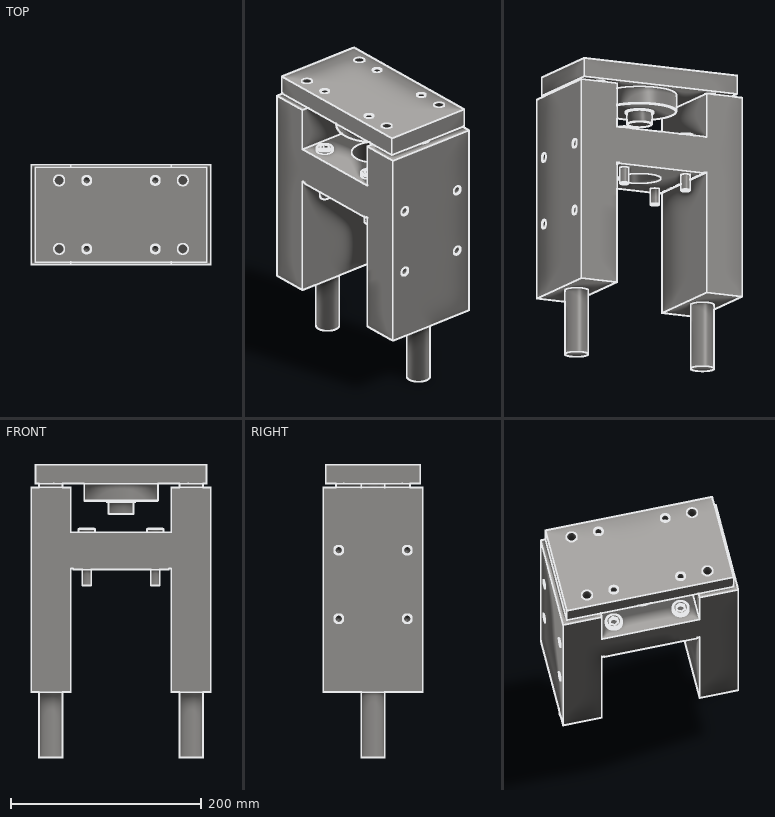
import cadquery as cq
import math

TOTAL_HEIGHT = 308.0
PLATE_THICKNESS = 20.0
PLATE_GAP = 4.0
HOUSING_HEIGHT = 215.0

PLATE_UNDERSIDE = TOTAL_HEIGHT - PLATE_THICKNESS
HOUSING_TOP = PLATE_UNDERSIDE - PLATE_GAP
HOUSING_BOTTOM = HOUSING_TOP - HOUSING_HEIGHT

HOUSING_LENGTH = 189.0
HOUSING_WIDTH = 105.0
WALL_THICKNESS = 42.0
BRIDGE_DROP = 46.8
BRIDGE_THICKNESS = 39.5
RELIEF_WIDTH = 2.5
RELIEF_DEPTH = 1.0
BRIDGE_BORE_DIAMETER = 45.0

INNER_SPAN = HOUSING_LENGTH - 2 * WALL_THICKNESS
BRIDGE_TOP = HOUSING_TOP - BRIDGE_DROP
BRIDGE_BOTTOM = BRIDGE_TOP - BRIDGE_THICKNESS

PLATE_LENGTH = 180.0
PLATE_WIDTH = 99.8
ROD_DIAMETER = 25.0
ROD_SPACING = 147.8
BOSS_DIAMETER = 78.0
BOSS_HEIGHT = 18.5
BOSS_CHAMFER = 1.0
COLLAR_DIAMETER = 30.0
COLLAR_HEIGHT = 1.0
STEM_DIAMETER = 26.5
STEM_LENGTH = 13.5
STEM_CHAMFER = 0.5

PATTERN_SPACING = 72.0
PLATE_HOLE_DIAMETER = 11.0
PLATE_HOLE_SPACING = 130.0

TAP_DIAMETER = 8.3
TAP_MOUTH_DIAMETER = 10.0
TAP_POINT_ANGLE = 118.0
PLATE_TAP_DEPTH = 15.0
WALL_TAP_DEPTH = 20.0
WALL_TAP_DROP = 66.0
TAP_CHAMFER = (TAP_MOUTH_DIAMETER - TAP_DIAMETER) / 2

BOLT_DIAMETER = 10.0
BOLT_PROJECTION = 17.2
BOLT_TIP_CHAMFER = 1.0
HEAD_DIAMETER = 17.5
HEAD_HEIGHT = 4.0
HEAD_CHAMFER = 1.2
SOCKET_SIDES = 6
SOCKET_ACROSS_FLATS = 8.5
SOCKET_DEPTH = 4.3


def grid(x_spacing, y_spacing):
    """Four corner positions of a centred rectangle."""
    return [(sx * x_spacing / 2, sy * y_spacing / 2) for sx in (-1, 1) for sy in (-1, 1)]


BOLT_POSITIONS = grid(PATTERN_SPACING, PATTERN_SPACING)
ROD_POSITIONS = [(-ROD_SPACING / 2, 0), (ROD_SPACING / 2, 0)]


def cylinders(points, diameter, bottom, top):
    """Upright cylinders at the given XY points."""
    base = cq.Workplane("XY", origin=(0, 0, bottom))
    return base.pushPoints(points).circle(diameter / 2).extrude(top - bottom)


def tapped_hole(depth):
    """Cutter along -Z from the origin: chamfered mouth, straight drill hole and conical point."""
    drill_radius = TAP_DIAMETER / 2
    point_length = drill_radius / math.tan(math.radians(TAP_POINT_ANGLE / 2))
    return (
        cq.Workplane("XZ")
        .moveTo(0, 0)
        .lineTo(TAP_MOUTH_DIAMETER / 2, 0)
        .lineTo(drill_radius, -TAP_CHAMFER)
        .lineTo(drill_radius, point_length - depth)
        .lineTo(0, -depth)
        .close()
        .revolve(360, (0, 0, 0), (0, 1, 0))
    )


def make_housing():
    """H-shaped housing with rod bores, a centre bore, bolt holes and tapped holes in both end faces."""
    housing = cq.Workplane("XY", origin=(0, 0, HOUSING_BOTTOM)).box(
        HOUSING_LENGTH, HOUSING_WIDTH, HOUSING_HEIGHT, centered=(True, True, False)
    )
    upper_slot = cq.Workplane("XY", origin=(0, 0, BRIDGE_TOP)).box(
        INNER_SPAN, HOUSING_WIDTH, BRIDGE_DROP, centered=(True, True, False)
    )
    lower_slot = cq.Workplane("XY", origin=(0, 0, HOUSING_BOTTOM)).box(
        INNER_SPAN, HOUSING_WIDTH, BRIDGE_BOTTOM - HOUSING_BOTTOM, centered=(True, True, False)
    )
    housing = housing.cut(upper_slot).cut(lower_slot)

    for side in (-1, 1):
        relief_x = side * (INNER_SPAN - RELIEF_WIDTH) / 2
        relief = cq.Workplane("XY", origin=(relief_x, 0, BRIDGE_BOTTOM)).box(
            RELIEF_WIDTH, HOUSING_WIDTH, RELIEF_DEPTH, centered=(True, True, False)
        )
        housing = housing.cut(relief)

    housing = housing.cut(cylinders(ROD_POSITIONS, ROD_DIAMETER, HOUSING_BOTTOM, HOUSING_TOP))
    housing = housing.cut(cylinders([(0, 0)], BRIDGE_BORE_DIAMETER, BRIDGE_BOTTOM, BRIDGE_TOP))
    housing = housing.cut(cylinders(BOLT_POSITIONS, BOLT_DIAMETER, BRIDGE_BOTTOM, BRIDGE_TOP))

    upper_row = HOUSING_TOP - WALL_TAP_DROP
    for side in (-1, 1):
        cutter = tapped_hole(WALL_TAP_DEPTH).rotate((0, 0, 0), (0, 1, 0), side * 90)
        for y in (-PATTERN_SPACING / 2, PATTERN_SPACING / 2):
            for z in (upper_row, upper_row - PATTERN_SPACING):
                housing = housing.cut(cutter.translate((side * HOUSING_LENGTH / 2, y, z)))
    return housing


def make_moving_unit():
    """Plate carrying the two guide rods and the centre boss with its collar and stem."""
    unit = cq.Workplane("XY", origin=(0, 0, PLATE_UNDERSIDE)).box(
        PLATE_LENGTH, PLATE_WIDTH, PLATE_THICKNESS, centered=(True, True, False)
    )
    boss_bottom = PLATE_UNDERSIDE - BOSS_HEIGHT
    collar_bottom = boss_bottom - COLLAR_HEIGHT
    stem_bottom = boss_bottom - STEM_LENGTH
    boss = cylinders([(0, 0)], BOSS_DIAMETER, boss_bottom, PLATE_UNDERSIDE).faces("<Z").chamfer(BOSS_CHAMFER)
    collar = cylinders([(0, 0)], COLLAR_DIAMETER, collar_bottom, boss_bottom)
    stem = cylinders([(0, 0)], STEM_DIAMETER, stem_bottom, boss_bottom).faces("<Z").chamfer(STEM_CHAMFER)
    rods = cylinders(ROD_POSITIONS, ROD_DIAMETER, 0, PLATE_UNDERSIDE)
    unit = unit.union(boss).union(collar).union(stem).union(rods)

    hole_positions = grid(PLATE_HOLE_SPACING, PATTERN_SPACING)
    unit = unit.cut(cylinders(hole_positions, PLATE_HOLE_DIAMETER, PLATE_UNDERSIDE, TOTAL_HEIGHT))

    for x, y in grid(PATTERN_SPACING, PATTERN_SPACING):
        unit = unit.cut(tapped_hole(PLATE_TAP_DEPTH).translate((x, y, TOTAL_HEIGHT)))
    return unit


def make_bolt(x, y):
    """Bolt with a chamfered head on the bridge, a hexagon socket and a shank through the bridge."""
    head_top = BRIDGE_TOP + HEAD_HEIGHT
    head = cylinders([(x, y)], HEAD_DIAMETER, BRIDGE_TOP, head_top).faces(">Z").chamfer(HEAD_CHAMFER)
    shank = cylinders([(x, y)], BOLT_DIAMETER, BRIDGE_BOTTOM - BOLT_PROJECTION, BRIDGE_TOP)
    shank = shank.faces("<Z").chamfer(BOLT_TIP_CHAMFER)
    socket = (
        cq.Workplane("XY", origin=(x, y, head_top))
        .polygon(SOCKET_SIDES, SOCKET_ACROSS_FLATS, circumscribed=True)
        .extrude(-SOCKET_DEPTH)
    )
    return head.union(shank).cut(socket)


housing = make_housing()
moving_unit = make_moving_unit()
bolts = [make_bolt(x, y) for x, y in BOLT_POSITIONS]

result = cq.Compound.makeCompound([housing.val(), moving_unit.val(), *[bolt.val() for bolt in bolts]])